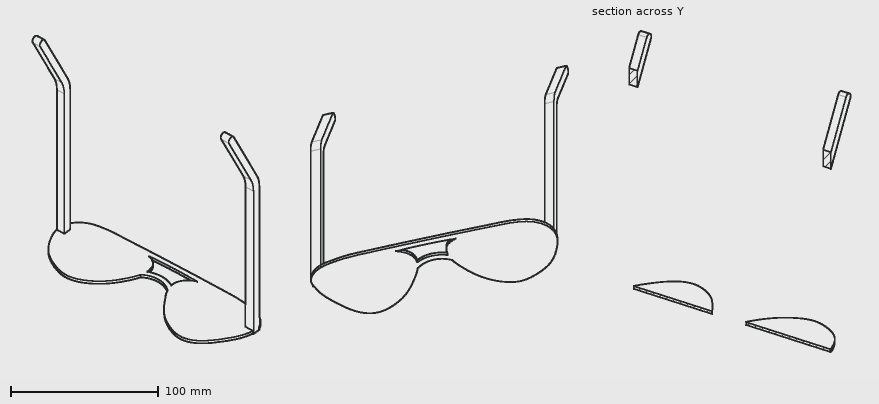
import cadquery as cq
import math

FRAME_THICKNESS = 2.5

OUTER_X = 86.0
LEFT_ARM_WIDTH = 6.8
RIGHT_ARM_WIDTH = 7.3
ARM_DEPTH = 6.2
LEFT_ARM_FRONT = 2.8
RIGHT_ARM_FRONT = 10.0
BEND_HEIGHT = 132.0
BEND_RADIUS = 26.3
BEND_ANGLE = math.radians(26)
SELECTION_MARGIN = 1.9
LEFT_ARM_HEIGHT = 187.0
RIGHT_ARM_HEIGHT = 187.8

LEFT_LENS = [
    (-86.2, 6.4), (-82.8, 15.4), (-74.8, 22.0), (-66.7, 24.6), (-49.8, 26.3), (-34.7, 26.0),
    (-22.7, 23.7), (-12.5, 18.6), (-10.3, 10.3), (-14.6, -2.3), (-22.7, -14.0), (-34.7, -24.5),
    (-49.2, -29.3), (-62.7, -26.1), (-74.8, -18.6), (-82.6, -7.5),
]
RIGHT_LENS = [
    (11.6, 12.0), (14.0, 18.6), (21.5, 24.0), (33.5, 27.6), (51.3, 29.3), (65.4, 28.2),
    (77.4, 25.0), (84.7, 18.0), (85.5, 10.3), (77.4, -7.7), (69.3, -18.0), (61.5, -24.5),
    (52.5, -27.0), (41.3, -24.6), (29.3, -17.3), (17.3, -3.0),
]


def lens(points):
    return cq.Workplane("XY").spline(points, periodic=True).close().extrude(FRAME_THICKNESS)


def brow_bar():
    """Shallow bowed bar whose ends run into the tops of the lenses."""
    return (
        cq.Workplane("XY")
        .moveTo(-47.9, 26.3)
        .threePointArc((1.3, 28.2), (51.3, 29.3))
        .lineTo(33.8, 24.0)
        .threePointArc((5.6, 24.5), (-26.3, 22.5))
        .close()
        .extrude(FRAME_THICKNESS)
    )


def nose_bridge():
    """Arched strip with both ends buried in the lenses."""
    return (
        cq.Workplane("XY")
        .moveTo(-14.0, 7.3)
        .threePointArc((0.8, 12.5), (15.4, 7.3))
        .lineTo(13.3, 4.1)
        .threePointArc((0.8, 8.6), (-11.8, 4.1))
        .close()
        .extrude(FRAME_THICKNESS)
    )


def arm(x_start, width, front_y, height):
    """Bent arm with rounded bend corners and a fully rounded tip."""
    back_y = front_y + ARM_DEPTH
    middle_y = front_y + ARM_DEPTH / 2
    sine = math.sin(BEND_ANGLE)
    cosine = math.cos(BEND_ANGLE)
    tip_radius = ARM_DEPTH * cosine / 2
    tip_z = height - tip_radius
    tip_y = middle_y - (tip_z - BEND_HEIGHT) * math.tan(BEND_ANGLE)
    side_y = tip_radius * cosine
    side_z = tip_radius * sine
    bent = (
        cq.Workplane("YZ", origin=(x_start, 0, 0))
        .moveTo(back_y, 0)
        .lineTo(back_y, BEND_HEIGHT)
        .lineTo(tip_y + side_y, tip_z + side_z)
        .threePointArc(
            (tip_y - tip_radius * sine, tip_z + tip_radius * cosine),
            (tip_y - side_y, tip_z - side_z),
        )
        .lineTo(front_y, BEND_HEIGHT)
        .lineTo(front_y, 0)
        .close()
        .extrude(width)
    )
    bend_edges = cq.selectors.BoxSelector(
        (x_start - SELECTION_MARGIN, front_y - SELECTION_MARGIN, BEND_HEIGHT - SELECTION_MARGIN),
        (x_start + width + SELECTION_MARGIN, back_y + SELECTION_MARGIN, BEND_HEIGHT + SELECTION_MARGIN),
    )
    return bent.edges("|X").edges(bend_edges).fillet(BEND_RADIUS)


left_arm = arm(-OUTER_X, LEFT_ARM_WIDTH, LEFT_ARM_FRONT, LEFT_ARM_HEIGHT)
right_arm = arm(OUTER_X - RIGHT_ARM_WIDTH, RIGHT_ARM_WIDTH, RIGHT_ARM_FRONT, RIGHT_ARM_HEIGHT)

result = (
    lens(LEFT_LENS)
    .union(lens(RIGHT_LENS))
    .union(brow_bar())
    .union(nose_bridge())
    .union(left_arm)
    .union(right_arm)
)